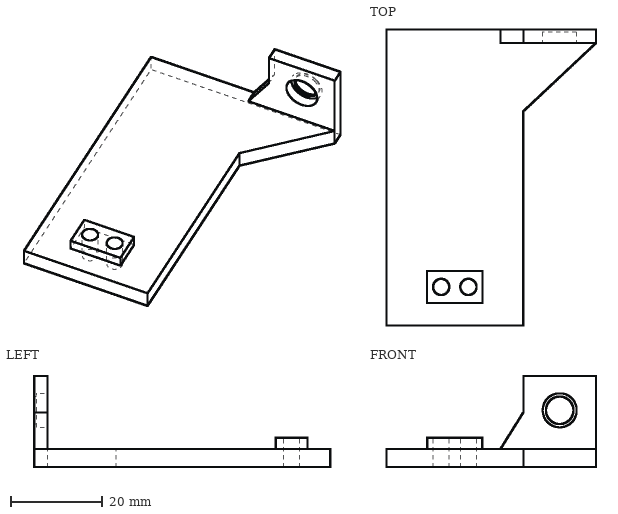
import cadquery as cq

overall_width = 46.0
overall_length = 65.0
overall_height = 20.0

plate_width = 30.0
plate_thickness = 4.0
slope_length = 15.0

lug_thickness = 3.0
lug_foot_overhang = 5.0
lug_slope_top = 12.0
lug_front = overall_length - lug_thickness

lug_hole_x = (plate_width + overall_width) / 2
lug_hole_z = 12.5
lug_hole_diameter = 6.0
counterbore_diameter = 7.5
counterbore_depth = 2.5

pad_width = 12.1
pad_length = 7.0
pad_height = 2.5
pad_x = plate_width / 2
pad_y = 8.5
pad_hole_diameter = 3.5
pad_hole_spacing = 6.0


def make_plate():
    outline = [
        (0, 0),
        (plate_width, 0),
        (plate_width, lug_front - slope_length),
        (overall_width, lug_front),
        (overall_width, overall_length),
        (0, overall_length),
    ]
    return cq.Workplane("XY").polyline(outline).close().extrude(plate_thickness)


def make_lug():
    outline = [
        (plate_width - lug_foot_overhang, plate_thickness),
        (overall_width, plate_thickness),
        (overall_width, overall_height),
        (plate_width, overall_height),
        (plate_width, lug_slope_top),
    ]
    back_plane = cq.Workplane("XZ", origin=(0, overall_length, 0))
    return back_plane.polyline(outline).close().extrude(lug_thickness)


def make_pad():
    top_plane = cq.Workplane("XY", origin=(pad_x, pad_y, plate_thickness))
    return top_plane.rect(pad_width, pad_length).extrude(pad_height)


def make_lug_hole():
    back_plane = cq.Workplane("XZ", origin=(lug_hole_x, overall_length, lug_hole_z))
    through_bore = back_plane.circle(lug_hole_diameter / 2).extrude(lug_thickness)
    counterbore = (
        back_plane.workplane(offset=lug_thickness - counterbore_depth)
        .circle(counterbore_diameter / 2)
        .extrude(counterbore_depth)
    )
    return through_bore.union(counterbore)


def make_pad_holes():
    return (
        cq.Workplane("XY", origin=(pad_x, pad_y, 0))
        .rarray(pad_hole_spacing, 0.65, 2, 1)
        .circle(pad_hole_diameter / 2)
        .extrude(plate_thickness + pad_height)
    )


body = make_plate().union(make_lug()).union(make_pad())
result = body.cut(make_lug_hole()).cut(make_pad_holes())